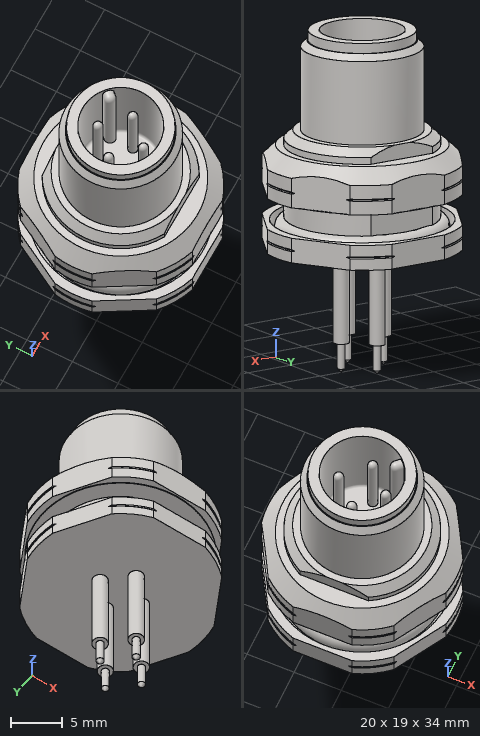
import cadquery as cq
import math


hex_across_flats = 19.0
hex_corner_radius = 10.0
hex_groove_depth = 0.1
hex_groove_height = 0.2

flange_height = 2.5
recess_radius = 9.0
ring_center_radius = 7.5
ring_section_radius = 1.0
ring_top_z = 2.8
ring_center_z = ring_top_z - ring_section_radius
recess_floor_z = ring_center_z - ring_section_radius

body_radius = 7.62
body_top_radius = 6.75
body_top_z = 11.5
body_chamfer_height = 0.83
body_flat_distance = 6.7

washer_face_z = 5.45
washer_face_radius = 9.3
washer_face_height = 0.1
nut_bottom_z = washer_face_z + washer_face_height
nut_top_z = 10.0
nut_chamfer_height = 1.5
nut_top_radius = 8.43

sleeve_radius = 6.0
sleeve_top_z = 21.5
neck_radius = 5.27
neck_height = 1.0
sleeve_chamfer = 0.63

bore_radius = 4.17
bore_floor_fillet = 0.33
bore_floor_z = 12.0

pin_offset = 2.5
pin_radius = 0.5
pin_top_z = 19.55
key_center_distance = pin_offset * math.sqrt(2)
key_radius = 0.6
key_top_z = 21.17
key_angle = 45.0
key_wall_overlap = 0.3

solder_shank_radius = 0.8
solder_shoulder_z = -9.5
solder_tail_radius = 0.4
solder_tip_z = -12.5


def cylinder(radius, bottom_z, top_z, x=0.0, y=0.0):
    return cq.Workplane("XY", origin=(x, y, bottom_z)).circle(radius).extrude(top_z - bottom_z)


def revolve_profile(points):
    """Revolve a closed (radius, z) outline about the Z axis."""
    return cq.Workplane("XZ").polyline(points).close().revolve(360, (0, 0, 0), (0, 1, 0))


def make_hexagon(bottom_z, top_z, groove_z):
    """Hexagon with flats facing +/-Y, rounded corners and a fine V-groove across the corners."""
    hexagon_diameter = hex_across_flats / math.cos(math.pi / 6)
    hexagon = (
        cq.Workplane("XY", origin=(0, 0, bottom_z))
        .polygon(6, hexagon_diameter)
        .extrude(top_z - bottom_z)
        .intersect(cylinder(hex_corner_radius, bottom_z, top_z))
    )
    half_groove = hex_groove_height / 2
    groove = revolve_profile([
        (hex_corner_radius - hex_groove_depth, groove_z),
        (hex_corner_radius, groove_z - half_groove),
        (hex_corner_radius, groove_z + half_groove),
    ])
    return hexagon.cut(groove)


def make_flange():
    flange = make_hexagon(0, flange_height, flange_height / 2)
    return flange.cut(cylinder(recess_radius, recess_floor_z, flange_height))


def make_sealing_ring():
    return (
        cq.Workplane("XZ")
        .center(ring_center_radius, ring_center_z)
        .circle(ring_section_radius)
        .revolve(360, (-ring_center_radius, 0, 0), (-ring_center_radius, 1, 0))
    )


def make_body():
    body = revolve_profile([
        (0, 0),
        (body_radius, 0),
        (body_radius, body_top_z - body_chamfer_height),
        (body_top_radius, body_top_z),
        (0, body_top_z),
    ])
    flat_height = body_top_z - ring_center_z
    for side in (-1, 1):
        waste = (
            cq.Workplane("XY", origin=(0, side * (body_flat_distance + body_radius), ring_center_z))
            .rect(2 * body_radius, 2 * body_radius)
            .extrude(flat_height)
        )
        body = body.cut(waste)
    return body


def make_nut():
    chamfer_start_z = nut_top_z - nut_chamfer_height
    envelope = revolve_profile([
        (0, nut_bottom_z),
        (hex_corner_radius, nut_bottom_z),
        (hex_corner_radius, chamfer_start_z),
        (nut_top_radius, nut_top_z),
        (0, nut_top_z),
    ])
    groove_z = (nut_bottom_z + chamfer_start_z) / 2
    nut = make_hexagon(nut_bottom_z, nut_top_z, groove_z).intersect(envelope)
    washer_face = cylinder(washer_face_radius, washer_face_z, nut_bottom_z)
    return nut.union(washer_face)


def make_sleeve():
    neck_bottom_z = sleeve_top_z - neck_height
    return revolve_profile([
        (0, body_top_z),
        (sleeve_radius, body_top_z),
        (sleeve_radius, neck_bottom_z - sleeve_chamfer),
        (sleeve_radius - sleeve_chamfer, neck_bottom_z),
        (neck_radius, neck_bottom_z),
        (neck_radius, sleeve_top_z),
        (0, sleeve_top_z),
    ])


def make_socket():
    socket = cylinder(bore_radius, bore_floor_z, sleeve_top_z)
    return socket.faces("<Z").edges().fillet(bore_floor_fillet)


def make_domed_pin(radius, top_z, x, y):
    """Pin with a hemispherical upper end, rooted in the sleeve below the socket floor."""
    dome_center_z = top_z - radius
    dome = cq.Workplane("XY").sphere(radius).translate((x, y, dome_center_z))
    return cylinder(radius, body_top_z, dome_center_z, x, y).union(dome)


def make_key():
    """Coding key: a domed pin joined to the socket wall by a round-topped web of the same width."""
    web_length = bore_radius + key_wall_overlap - key_center_distance
    web_round_z = key_top_z - key_radius
    web = (
        cq.Workplane("XY", origin=(key_center_distance + web_length / 2, 0, body_top_z))
        .rect(web_length, 2 * key_radius)
        .extrude(web_round_z - body_top_z)
    )
    web_round = (
        cq.Workplane("YZ", origin=(key_center_distance, 0, web_round_z))
        .circle(key_radius)
        .extrude(web_length)
    )
    key = make_domed_pin(key_radius, key_top_z, key_center_distance, 0).union(web).union(web_round)
    return key.rotate((0, 0, 0), (0, 0, 1), key_angle)


def make_solder_pin(x, y):
    """Stepped pin with a conical end, rooted in the flange."""
    profile = [
        (0, recess_floor_z),
        (solder_shank_radius, recess_floor_z),
        (solder_shank_radius, solder_shoulder_z),
        (solder_tail_radius, solder_shoulder_z),
        (solder_tail_radius, solder_tip_z + solder_tail_radius),
        (0, solder_tip_z),
    ]
    return revolve_profile(profile).translate((x, y, 0))


result = make_body().union(make_flange()).union(make_sealing_ring()).union(make_nut())
result = result.union(make_sleeve()).cut(make_socket())

for pin_x, pin_y in ((pin_offset, 0), (0, pin_offset), (-pin_offset, 0), (0, -pin_offset)):
    result = result.union(make_domed_pin(pin_radius, pin_top_z, pin_x, pin_y))
    result = result.union(make_solder_pin(pin_x, pin_y))

result = result.union(make_key())